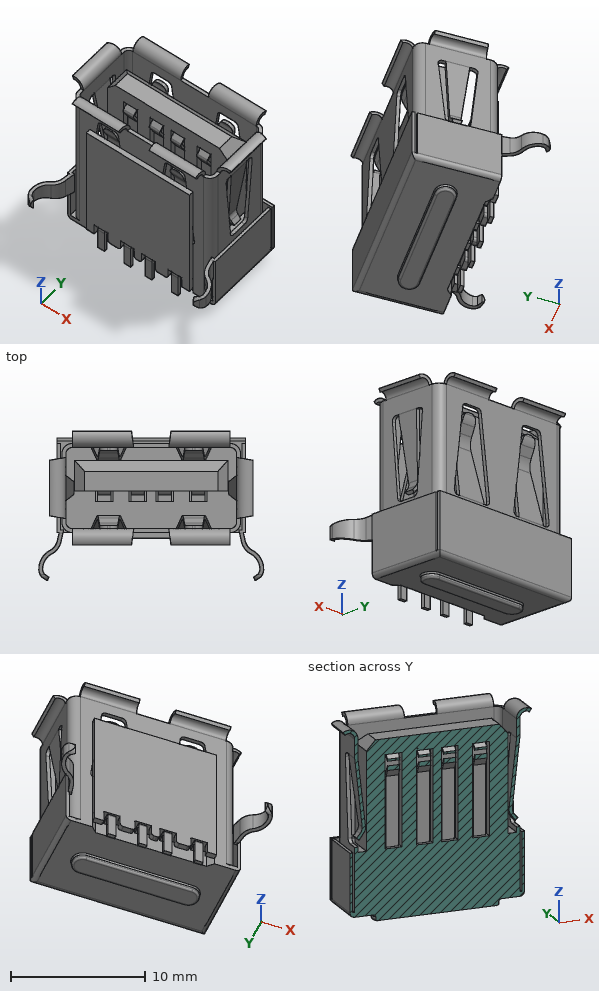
import cadquery as cq
import math

SHELL_HALF_X = 6.66
SHELL_HALF_Y = 3.32
SHELL_WALL = 0.3
SHELL_CORNER = 0.77
SHELL_BOTTOM = 0.74
SHELL_TOP = 14.75
INNER_HALF_X = SHELL_HALF_X - SHELL_WALL
INNER_HALF_Y = SHELL_HALF_Y - SHELL_WALL

LIP_RADIUS = 0.77
LIP_SWEEP = math.radians(126)
FRONT_LIP_OUTER_X = 5.87
FRONT_LIP_INNER_X = 1.31
FRONT_LIP_TAPER = 0.15
SIDE_LIP_HALF = 2.28
SIDE_LIP_TAPER = 0.2

WINDOW_BOTTOM = 6.26
WINDOW_CORNER = 0.37
FRONT_WINDOW_X = 3.17
FRONT_WINDOW_TOP = 13.76
FRONT_WINDOW_HALF_TOP = 0.94
FRONT_WINDOW_HALF_BOTTOM = 1.93
SIDE_WINDOW_TOP = 13.24
SIDE_WINDOW_HALF_TOP = 1.6
SIDE_WINDOW_HALF_BOTTOM = 0.99

FRONT_SPRING_PATH = [(0, WINDOW_BOTTOM), (1.07, 11.16), (0.22, 12.69), (0.22, 13.24)]
FRONT_SPRING_ROOT_HALF = 1.31
FRONT_SPRING_TIP_HALF = 0.6
FRONT_SPRING_TIP_RADIUS = 0.55
FRONT_SPRING_BEND_RADIUS = 1.51
SIDE_SPRING_PATH = [(0, SIDE_WINDOW_TOP), (0.64, 7.52), (0.15, 6.95)]
SIDE_SPRING_ROOT_HALF = 0.94
SIDE_SPRING_TIP_HALF = 0.37
SIDE_SPRING_TIP_RADIUS = 0.2
SIDE_SPRING_BEND_RADIUS = 0.67

BRACKET_HALF_X = 7.03
BRACKET_BACK = 3.75
BRACKET_SHEET = 0.25
BRACKET_TOP = 5.84
BRACKET_BEND = 0.4
FLOOR_THICKNESS = 0.42
FLOOR_TOP = SHELL_BOTTOM + FLOOR_THICKNESS

LEG_THICKNESS = 0.3
LEG_ROOT_HALF = 1.0
LEG_END_HALF = 0.52
LEG_CENTRE_Z = BRACKET_TOP - LEG_ROOT_HALF
LEG_TAPER_START = -3.35
LEG_TAPER_END = -6.46
LEG_TIP = -6.9
LEG_START = (6.68, -3.12)
LEG_STRAIGHT_END = (6.86, -3.96)
LEG_INFLECTION = (7.48, -4.78)
LEG_WIDEST = (8.24, -6.07)
LEG_HOOK_START = (8.05, -6.53)
LEG_HOOK_END = (7.69, -6.78)

BASE_TOP = 5.84
TONGUE_HALF_X = 5.7
TONGUE_FRONT = -0.23
TONGUE_BACK = 2.05
TONGUE_TOP = 14.5
TONGUE_BEVEL_HEIGHT = 0.8
TONGUE_BEVEL_X = 0.74
TONGUE_BEVEL_Y = 0.8
PLATE_HALF_X = 4.92
PLATE_THICKNESS = 0.44
PLATE_BOTTOM = 1.3
PLATE_TOP = 12.32
PLATE_FRONT = -SHELL_HALF_Y - PLATE_THICKNESS
NOTCH_TOP = 2.32
NOTCH_CORNER = 0.25
RECESS_DEPTH = 0.45
BOSS_CENTRE_Y = 0.2
BOSS_LENGTH = 10.17
BOSS_WIDTH = 1.65
BOSS_BOTTOM = 0.25
BOSS_FLARE = 0.07
BOSS_FLARE_HEIGHT = 0.15
BOSS_EDGE_RADIUS = 0.17

CONTACT_POSITIONS = (-3.5, -1.0, 1.0, 3.5)
CONTACT_WIDTH = 0.99
CHANNEL_WIDTH = 1.31
CHANNEL_TOP = 13.2
CHANNEL_BACK = 0.27
CHANNEL_FRONT = -0.99
CHANNEL_BOTTOM = 3.35
CONTACT_STEP_TOP = 4.36
CONTACT_SHEET = 0.22
CONTACT_TIP = 13.12
CONTACT_CREST = -0.57
CONTACT_CREST_Z = 12.55
CONTACT_CREST_RADIUS = 0.2
CONTACT_BEND_Z = 11.41
PIN_WIDTH = 0.64
PIN_THICKNESS = 0.3
PIN_BEND_RADIUS = 0.27


def block(x0, x1, y0, y1, z0, z1):
    return cq.Workplane("XY").box(x1 - x0, y1 - y0, z1 - z0, centered=False).translate((x0, y0, z0))


def rounded_prism(half_x, half_y, radius, z0, z1):
    prism = cq.Workplane("XY").workplane(offset=z0).rect(2 * half_x, 2 * half_y).extrude(z1 - z0)
    return prism.edges("|Z").fillet(radius)


def across_x(points, half_length):
    """Polygon in Y and Z, extruded evenly to both sides along X."""
    return cq.Workplane("YZ").polyline(points).close().extrude(half_length, both=True)


def across_y(points, half_length):
    """Polygon in X and Z, extruded evenly to both sides along Y."""
    return cq.Workplane("XZ").polyline(points).close().extrude(half_length, both=True)


def both_sides(feature, plane):
    return feature.union(feature.mirror(plane))


def to_left_wall(feature):
    """Turn a feature modelled on the front wall (-Y) onto the left wall (-X)."""
    return feature.rotate((0, 0, 0), (0, 0, 1), -90)


def lip(wall_inner, plan_outline):
    """Lip that curls outwards from the top of the wall, trimmed to its plan outline."""
    centre_y = -wall_inner - LIP_RADIUS

    def on_curl(radius, angle):
        return (centre_y + radius * math.cos(angle), SHELL_TOP + radius * math.sin(angle))

    hollow_radius = LIP_RADIUS - SHELL_WALL
    curl = (
        cq.Workplane("YZ")
        .moveTo(*on_curl(LIP_RADIUS, 0))
        .threePointArc(on_curl(LIP_RADIUS, LIP_SWEEP / 2), on_curl(LIP_RADIUS, LIP_SWEEP))
        .lineTo(*on_curl(hollow_radius, LIP_SWEEP))
        .threePointArc(on_curl(hollow_radius, LIP_SWEEP / 2), on_curl(hollow_radius, 0))
        .close()
        .extrude(SHELL_HALF_X, both=True)
    )
    trim = cq.Workplane("XY").polyline(plan_outline).close().extrude(2 * SHELL_TOP)
    return curl.intersect(trim)


def lip_reach(wall_inner):
    return wall_inner + LIP_RADIUS * (1 - math.cos(LIP_SWEEP))


def window(wall_outer, half_bottom, half_top, top):
    """Tapered window with rounded corners that passes through the wall."""
    outline = [
        (-half_bottom, WINDOW_BOTTOM),
        (half_bottom, WINDOW_BOTTOM),
        (half_top, top),
        (-half_top, top),
    ]
    cutter = across_y(outline, 2 * SHELL_WALL).edges("|Y").fillet(WINDOW_CORNER)
    return cutter.translate((0, -wall_outer, 0))


def spring(wall_outer, path, root_half, tip_half, tip_radius, bend_radius):
    """Tapered tongue that leaves the wall, bends inwards and curls back at its tip.

    The path runs from root to tip along the outer face of the spring. Each of its points
    is a depth inwards from the outer wall face, followed by a height."""
    outer_face = [(depth - wall_outer, z) for depth, z in path]
    inner_face = [(y + SHELL_WALL, z) for y, z in outer_face]
    (last_bend_y, last_bend_z), (tip_y, tip_z) = outer_face[-2:]
    curl_angle = math.atan2(last_bend_y - tip_y, abs(tip_z - last_bend_z))
    direction = math.copysign(1, tip_z - last_bend_z)
    end_z = tip_z + direction * SHELL_WALL * math.sin(curl_angle)
    inner_face[-1] = (tip_y + SHELL_WALL * math.cos(curl_angle), end_z)

    strip = across_x(outer_face + inner_face[::-1], root_half)
    for y, z in outer_face[1:-1] + inner_face[1:-1]:
        strip = strip.edges(cq.selectors.NearestToPointSelector((0, y, z))).fillet(bend_radius)

    root_z = path[0][1]
    outline = [(-root_half, root_z), (root_half, root_z), (tip_half, end_z), (-tip_half, end_z)]
    tip_edges = "|Y and >Z" if direction > 0 else "|Y and <Z"
    return strip.intersect(across_y(outline, wall_outer).edges(tip_edges).fillet(tip_radius))


shell = rounded_prism(SHELL_HALF_X, SHELL_HALF_Y, SHELL_CORNER, SHELL_BOTTOM, SHELL_TOP)
shell = shell.cut(
    rounded_prism(INNER_HALF_X, INNER_HALF_Y, SHELL_CORNER - SHELL_WALL, SHELL_BOTTOM, SHELL_TOP)
)

front_window = window(SHELL_HALF_Y, FRONT_WINDOW_HALF_BOTTOM, FRONT_WINDOW_HALF_TOP, FRONT_WINDOW_TOP)
front_windows = both_sides(front_window.translate((FRONT_WINDOW_X, 0, 0)), "YZ")
side_window = window(SHELL_HALF_X, SIDE_WINDOW_HALF_BOTTOM, SIDE_WINDOW_HALF_TOP, SIDE_WINDOW_TOP)
side_windows = both_sides(to_left_wall(side_window), "YZ")
shell = shell.cut(both_sides(front_windows, "XZ")).cut(side_windows)

front_spring = spring(
    SHELL_HALF_Y,
    path=FRONT_SPRING_PATH,
    root_half=FRONT_SPRING_ROOT_HALF,
    tip_half=FRONT_SPRING_TIP_HALF,
    tip_radius=FRONT_SPRING_TIP_RADIUS,
    bend_radius=FRONT_SPRING_BEND_RADIUS,
)
front_springs = both_sides(front_spring.translate((FRONT_WINDOW_X, 0, 0)), "YZ")
side_spring = spring(
    SHELL_HALF_X,
    path=SIDE_SPRING_PATH,
    root_half=SIDE_SPRING_ROOT_HALF,
    tip_half=SIDE_SPRING_TIP_HALF,
    tip_radius=SIDE_SPRING_TIP_RADIUS,
    bend_radius=SIDE_SPRING_BEND_RADIUS,
)
side_springs = both_sides(to_left_wall(side_spring), "YZ")
shell = shell.union(both_sides(front_springs, "XZ")).union(side_springs)

front_reach = lip_reach(INNER_HALF_Y)
front_lip = lip(INNER_HALF_Y, [
    (FRONT_LIP_OUTER_X, -INNER_HALF_Y),
    (FRONT_LIP_OUTER_X, -front_reach),
    (FRONT_LIP_INNER_X + FRONT_LIP_TAPER, -front_reach),
    (FRONT_LIP_INNER_X, -INNER_HALF_Y),
])
side_reach = lip_reach(INNER_HALF_X)
side_lip = to_left_wall(lip(INNER_HALF_X, [
    (SIDE_LIP_HALF, -INNER_HALF_X),
    (SIDE_LIP_HALF - SIDE_LIP_TAPER, -side_reach),
    (SIDE_LIP_TAPER - SIDE_LIP_HALF, -side_reach),
    (-SIDE_LIP_HALF, -INNER_HALF_X),
]))
shell = shell.union(both_sides(both_sides(front_lip, "YZ"), "XZ")).union(both_sides(side_lip, "YZ"))

bracket = block(-BRACKET_HALF_X, BRACKET_HALF_X, -SHELL_HALF_Y, BRACKET_BACK, SHELL_BOTTOM, BRACKET_TOP)
bracket = bracket.edges("(|Y and <Z) or (|X and <Z and >Y)").fillet(BRACKET_BEND)
panel_inner_x = BRACKET_HALF_X - BRACKET_SHEET
back_panel_inner_y = BRACKET_BACK - BRACKET_SHEET
bracket = bracket.cut(
    block(-panel_inner_x, panel_inner_x, -SHELL_HALF_Y, back_panel_inner_y, FLOOR_TOP, BRACKET_TOP)
)
bracket = bracket.cut(
    block(-BRACKET_HALF_X, BRACKET_HALF_X, SHELL_HALF_Y, back_panel_inner_y, FLOOR_TOP, BRACKET_TOP)
)

leg_path = (
    cq.Workplane("XY", origin=(0, 0, LEG_CENTRE_Z))
    .moveTo(*LEG_START)
    .lineTo(*LEG_STRAIGHT_END)
    .tangentArcPoint(LEG_INFLECTION, relative=False)
    .tangentArcPoint(LEG_WIDEST, relative=False)
    .tangentArcPoint(LEG_HOOK_START, relative=False)
    .lineTo(*LEG_HOOK_END)
)
leg_strip = (
    cq.Workplane("XZ", origin=(*LEG_START, LEG_CENTRE_Z))
    .rect(LEG_THICKNESS, 2 * LEG_ROOT_HALF)
    .sweep(leg_path, transition="right")
)
leg_outline = (
    cq.Workplane("YZ", origin=(0, 0, LEG_CENTRE_Z))
    .moveTo(0, LEG_ROOT_HALF)
    .lineTo(LEG_TAPER_START, LEG_ROOT_HALF)
    .lineTo(LEG_TAPER_END, LEG_END_HALF)
    .threePointArc((LEG_TIP, 0), (LEG_TAPER_END, -LEG_END_HALF))
    .lineTo(LEG_TAPER_START, -LEG_ROOT_HALF)
    .lineTo(0, -LEG_ROOT_HALF)
    .close()
    .extrude(2 * BRACKET_HALF_X)
)
legs = both_sides(leg_strip.intersect(leg_outline), "YZ")

base = rounded_prism(
    INNER_HALF_X, INNER_HALF_Y, SHELL_CORNER - SHELL_WALL, SHELL_BOTTOM, BASE_TOP
)

bevel_start = TONGUE_TOP - TONGUE_BEVEL_HEIGHT
bevelled_half_x = TONGUE_HALF_X - TONGUE_BEVEL_X
tongue = across_x([
    (TONGUE_FRONT, BASE_TOP),
    (TONGUE_BACK, BASE_TOP),
    (TONGUE_BACK, bevel_start),
    (TONGUE_BACK - TONGUE_BEVEL_Y, TONGUE_TOP),
    (TONGUE_FRONT, TONGUE_TOP),
], TONGUE_HALF_X)
tongue = tongue.intersect(across_y([
    (-TONGUE_HALF_X, BASE_TOP),
    (TONGUE_HALF_X, BASE_TOP),
    (TONGUE_HALF_X, bevel_start),
    (bevelled_half_x, TONGUE_TOP),
    (-bevelled_half_x, TONGUE_TOP),
    (-TONGUE_HALF_X, bevel_start),
], SHELL_HALF_Y))

plate = block(-PLATE_HALF_X, PLATE_HALF_X, PLATE_FRONT, -SHELL_HALF_Y, PLATE_BOTTOM, PLATE_TOP)
for x in CONTACT_POSITIONS:
    notch_left = x - CHANNEL_WIDTH / 2
    notch_right = x + CHANNEL_WIDTH / 2
    plate = plate.cut(block(notch_left, notch_right, PLATE_FRONT, -SHELL_HALF_Y, PLATE_BOTTOM, NOTCH_TOP))
tab_corners = cq.selectors.BoxSelector(
    (CONTACT_POSITIONS[0], PLATE_FRONT, PLATE_BOTTOM - NOTCH_CORNER),
    (CONTACT_POSITIONS[-1], -SHELL_HALF_Y, PLATE_BOTTOM + NOTCH_CORNER),
)
plate = plate.edges("|Y").edges(tab_corners).fillet(NOTCH_CORNER)

recess_back = -SHELL_HALF_Y + RECESS_DEPTH
recess_inner_x = PLATE_HALF_X - RECESS_DEPTH
recess = (
    cq.Workplane("XY", origin=(0, 0, SHELL_BOTTOM))
    .polyline([
        (-PLATE_HALF_X, -SHELL_HALF_Y),
        (PLATE_HALF_X, -SHELL_HALF_Y),
        (recess_inner_x, recess_back),
        (-recess_inner_x, recess_back),
    ])
    .close()
    .extrude(NOTCH_TOP - SHELL_BOTTOM)
)

boss = (
    cq.Workplane("XY", origin=(0, BOSS_CENTRE_Y, BOSS_BOTTOM))
    .slot2D(BOSS_LENGTH, BOSS_WIDTH)
    .extrude(SHELL_BOTTOM - BOSS_BOTTOM)
    .faces("<Z").edges().fillet(BOSS_EDGE_RADIUS)
)
boss_flare = (
    cq.Workplane("XY", origin=(0, BOSS_CENTRE_Y, SHELL_BOTTOM))
    .slot2D(BOSS_LENGTH + 2 * BOSS_FLARE, BOSS_WIDTH + 2 * BOSS_FLARE)
    .extrude(-BOSS_FLARE_HEIGHT, taper=math.degrees(math.atan2(BOSS_FLARE, BOSS_FLARE_HEIGHT)))
)


def channel(x):
    """Slot in the tongue face plus the well in the base in front of it."""
    left = x - CHANNEL_WIDTH / 2
    right = x + CHANNEL_WIDTH / 2
    slot = block(left, right, TONGUE_FRONT, CHANNEL_BACK, BASE_TOP, CHANNEL_TOP)
    well = block(left, right, CHANNEL_FRONT, TONGUE_FRONT, CHANNEL_BOTTOM, BASE_TOP)
    return slot.union(well)


def contact(x):
    """Strip lying in the tongue slot, crested near its top, on a step in the base well."""
    half = CONTACT_WIDTH / 2
    crest_back = CONTACT_CREST + CONTACT_SHEET
    strip = across_x([
        (CHANNEL_BACK, BASE_TOP),
        (CHANNEL_BACK - CONTACT_SHEET, BASE_TOP),
        (CHANNEL_BACK - CONTACT_SHEET, CONTACT_BEND_Z),
        (CONTACT_CREST, CONTACT_CREST_Z),
        (CHANNEL_BACK - CONTACT_SHEET, CONTACT_TIP),
        (CHANNEL_BACK, CONTACT_TIP),
        (crest_back, CONTACT_CREST_Z),
        (CHANNEL_BACK, CONTACT_BEND_Z),
    ], half)
    strip = strip.edges("<Y").fillet(CONTACT_CREST_RADIUS)
    step = block(-half, half, CHANNEL_FRONT, TONGUE_FRONT, CHANNEL_BOTTOM, CONTACT_STEP_TOP)
    return strip.union(step).translate((x, 0, 0))


def pin(x):
    """Solder pin that leaves the recess and bends down in front of the plate notch."""
    half = PIN_WIDTH / 2
    arm = block(-half, half, PLATE_FRONT, recess_back, NOTCH_TOP - PIN_THICKNESS, NOTCH_TOP)
    drop = block(-half, half, PLATE_FRONT, PLATE_FRONT + PIN_THICKNESS, 0, NOTCH_TOP)
    bent = arm.union(drop).edges("|X and >Z and <Y").fillet(PIN_BEND_RADIUS)
    return bent.translate((x, 0, 0))


result = shell.union(bracket).union(base).union(tongue).cut(recess)
result = result.union(plate).union(boss).union(boss_flare).union(legs)
for x in CONTACT_POSITIONS:
    result = result.cut(channel(x)).union(contact(x)).union(pin(x))